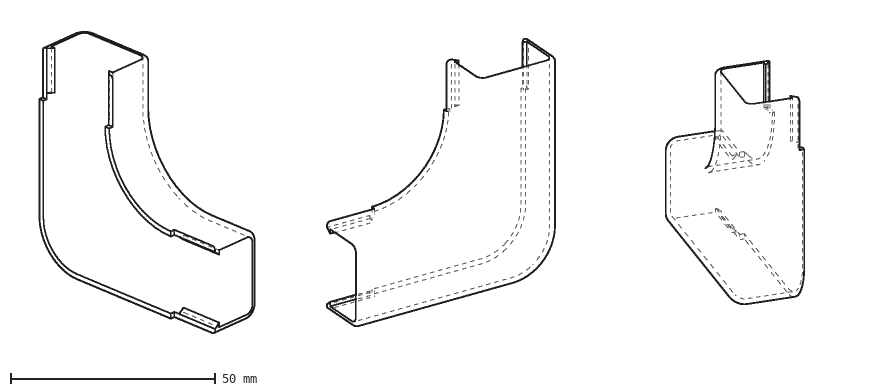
import cadquery as cq
import math

leg_length = 58.6
depth = 15.8
leg_width = 23.8
wall = 1.4
back_wall = 1.45

outer_corner_radius = 12.9
back_edge_radius = 3.35
end_edge_radius = 0.95

end_length = 13.85
rim_setback = 1.25

ridge_length = 12.2
ridge_height = 1.25
ridge_width = 1.45
ridge_overlap = 0.25

inner_bend_radius = leg_length - leg_width - end_length


def elbow(offset, length, front, back, edge_radius):
    """L-shaped solid moved inwards by offset, with its long back edges rounded."""
    low = offset
    high = leg_width - offset
    corner_radius = outer_corner_radius - offset
    bend_radius = inner_bend_radius + offset
    bend_end = leg_length - end_length
    corner_reach = (1 - math.sqrt(0.5)) * corner_radius
    bend_middle = bend_end - bend_radius * math.sqrt(0.5)
    body = (
        cq.Workplane("XZ", origin=(0, front, 0))
        .moveTo(low, length)
        .lineTo(low, outer_corner_radius)
        .threePointArc((low + corner_reach, low + corner_reach), (outer_corner_radius, low))
        .lineTo(length, low)
        .lineTo(length, high)
        .lineTo(bend_end, high)
        .threePointArc((bend_middle, bend_middle), (high, bend_end))
        .lineTo(high, length)
        .close()
        .extrude(front - back)
    )
    back_edges = cq.selectors.StringSyntaxSelector(">Y")
    upright_end = cq.selectors.StringSyntaxSelector(">Z")
    level_end = cq.selectors.StringSyntaxSelector(">X")
    return body.edges(back_edges - upright_end - level_end).fillet(edge_radius)


def mirror_leg(upright):
    """Copy a feature of the upright leg onto the level leg by swapping X and Z."""
    return upright.rotate((0, 0, 0), (1, 0, 1), 180).mirror("XZ")


def rim_cut():
    return cq.Workplane("XY").box(
        leg_width, rim_setback, end_length, centered=False
    ).translate((0, 0, leg_length - end_length))


def ridge(wall_x, direction):
    """Triangular ridge with a flat catch facing the back."""
    tip_x = wall_x + direction * ridge_height
    root_x = wall_x - direction * ridge_overlap
    catch_y = rim_setback + ridge_width
    return (
        cq.Workplane("XY", origin=(0, 0, leg_length - ridge_length))
        .polyline([(root_x, rim_setback), (wall_x, rim_setback), (tip_x, catch_y), (root_x, catch_y)])
        .close()
        .extrude(ridge_length)
    )


body = elbow(0, leg_length, 0, depth, back_edge_radius)
open_side = cq.selectors.StringSyntaxSelector("<Y")
for end in (">X", ">Z"):
    rim = cq.selectors.StringSyntaxSelector(end)
    body = body.edges(rim - open_side).fillet(end_edge_radius)

overrun = 0.6
cavity = elbow(wall, leg_length + overrun, -overrun, depth - wall, back_edge_radius - wall)
back_slab = cq.Workplane("XY").box(
    leg_length + overrun, back_wall, leg_length + overrun, centered=False
).translate((0, depth - back_wall, 0))
cavity = cavity.cut(back_slab)
body = body.cut(cavity)

upright_cut = rim_cut()
body = body.cut(upright_cut).cut(mirror_leg(upright_cut))

for wall_x, direction in ((wall, 1), (leg_width - wall, -1)):
    upright_ridge = ridge(wall_x, direction)
    body = body.union(upright_ridge).union(mirror_leg(upright_ridge))

result = body